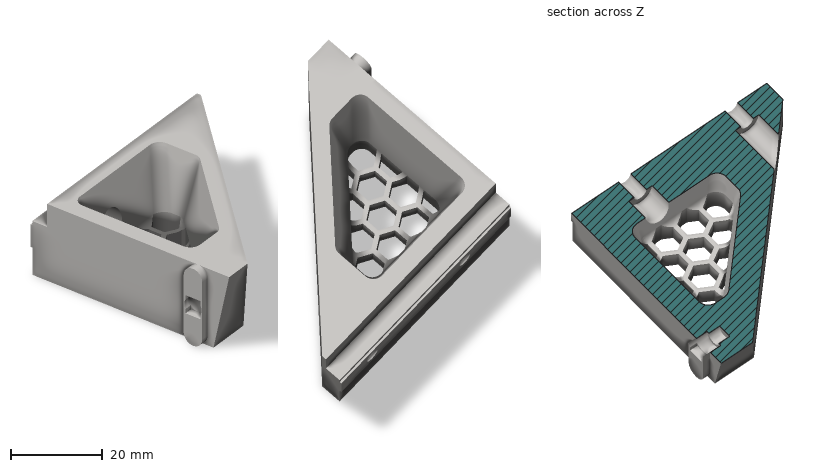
import cadquery as cq
import math

LENGTH_Y = 55.0
HEIGHT = 20.0
RAIL_DEPTH = 0.5
END_X = 53.89 - RAIL_DEPTH
END_SLOPE = 12.0
DIAGONAL_SUM = END_X + 6.75
STEP_X = 4.05
STEP_Z = 14.0
MID_Z = HEIGHT / 2
RAIL_HEIGHT = 5.8

WALL = 4.0
POCKET_LEFT = STEP_X + WALL
POCKET_FRONT = 4.05
POCKET_BACK = 35.0
POCKET_RIGHT = 40.55
POCKET_DIAGONAL_SUM = DIAGONAL_SUM - WALL * math.sqrt(2)
POCKET_DRAFT = 15.0
POCKET_CORNER_RADIUS = 2.7
FLOOR_FILLET = 2.0
FLOOR_Z = 4.0
THROAT_Z = FLOOR_Z + FLOOR_FILLET * (1 - math.sin(math.radians(POCKET_DRAFT)))

HEX_DIAMETER = 7.0
HEX_PITCH = 7.2
HEX_COLUMN_STEP = HEX_PITCH * math.sqrt(3) / 2
HEX_FIRST_X = 15.0
HEX_FIRST_Y = 7.3
HEX_COLUMN_COUNTS = (4, 4, 3, 2)

SCREW_DIAMETER = 3.4
SCREW_HEAD_DIAMETER = 6.5
SCREW_SEAT_X = 5.0
SCREW_YS = (15.0, 45.0)
HEAD_CUT_LENGTH = 15.0

TONGUE_WIDTH = 5.0
TONGUE_DEPTH = 2.0
TONGUE_X = END_X - 8.35
INSERT_DIAMETER = 4.7
WINDOW_WIDTH = 4.0
INSERT_DEPTH = 3.0
TONGUE_HOLE_DEPTH = 6.0


def make_body():
    outline = [
        (0, 0),
        (END_X, 0),
        (END_X, DIAGONAL_SUM - END_X),
        (DIAGONAL_SUM - LENGTH_Y, LENGTH_Y),
        (0, LENGTH_Y),
    ]
    undercut = HEIGHT * math.tan(math.radians(END_SLOPE))
    side = [
        (0, 0),
        (END_X - undercut, 0),
        (END_X, HEIGHT),
        (STEP_X, HEIGHT),
        (STEP_X, STEP_Z),
        (0, STEP_Z),
    ]
    plan = cq.Workplane("XY").polyline(outline).close().extrude(HEIGHT)
    profile = cq.Workplane("XZ").polyline(side).close().extrude(-LENGTH_Y)
    return plan.intersect(profile)


def make_rail():
    rail = cq.Workplane("XY").box(2 * RAIL_DEPTH, LENGTH_Y, RAIL_HEIGHT)
    return rail.translate((0, LENGTH_Y / 2, MID_Z))


def pocket_outline(inset):
    left = POCKET_LEFT + inset
    right = POCKET_RIGHT - inset
    front = POCKET_FRONT + inset
    back = POCKET_BACK - inset
    diagonal = POCKET_DIAGONAL_SUM - inset * math.sqrt(2)
    return [(left, front), (right, front), (right, diagonal - right), (diagonal - back, back), (left, back)]


def make_pocket():
    depth = HEIGHT - FLOOR_Z
    pocket = (
        cq.Workplane("XY").workplane(offset=HEIGHT)
        .polyline(pocket_outline(0)).close()
        .extrude(-depth, taper=POCKET_DRAFT)
    )
    pocket = pocket.edges("not(#Z)").fillet(POCKET_CORNER_RADIUS)
    return pocket.faces("<Z").edges().fillet(FLOOR_FILLET)


def make_honeycomb():
    centers = []
    for column, count in enumerate(HEX_COLUMN_COUNTS):
        x = HEX_FIRST_X + column * HEX_COLUMN_STEP
        start = HEX_FIRST_Y + (column % 2) * HEX_PITCH / 2
        centers += [(x, start + row * HEX_PITCH) for row in range(count)]
    cells = cq.Workplane("XY").pushPoints(centers).polygon(6, HEX_DIAMETER).extrude(THROAT_Z)
    inset = (HEIGHT - THROAT_Z) * math.tan(math.radians(POCKET_DRAFT))
    throat = cq.Workplane("XY").polyline(pocket_outline(inset)).close().extrude(THROAT_Z)
    throat = throat.edges("|Z").fillet(POCKET_CORNER_RADIUS)
    return cells.intersect(throat)


def make_screw_hole(y):
    shank = cq.Workplane("YZ").center(y, MID_Z).circle(SCREW_DIAMETER / 2)
    shank = shank.extrude(SCREW_SEAT_X + RAIL_DEPTH).translate((-RAIL_DEPTH, 0, 0))
    head = cq.Workplane("YZ", origin=(SCREW_SEAT_X, y, MID_Z)).circle(SCREW_HEAD_DIAMETER / 2)
    return shank.union(head.extrude(HEAD_CUT_LENGTH))


def make_tongue():
    tongue = cq.Workplane("XZ", origin=(TONGUE_X, 0, MID_Z)).slot2D(HEIGHT, TONGUE_WIDTH, 90)
    return tongue.extrude(TONGUE_DEPTH)


def make_tongue_hole():
    front = cq.Workplane("XZ", origin=(TONGUE_X, -TONGUE_DEPTH, MID_Z))
    window = front.rect(WINDOW_WIDTH, INSERT_DIAMETER).extrude(-TONGUE_DEPTH)
    insert = front.circle(INSERT_DIAMETER / 2).extrude(-(TONGUE_DEPTH + INSERT_DEPTH))
    hole = front.circle(SCREW_DIAMETER / 2).extrude(-(TONGUE_DEPTH + TONGUE_HOLE_DEPTH))
    return window.union(insert).union(hole)


result = make_body().union(make_rail()).union(make_tongue())
result = result.cut(make_pocket()).cut(make_honeycomb()).cut(make_tongue_hole())
for screw_y in SCREW_YS:
    result = result.cut(make_screw_hole(screw_y))